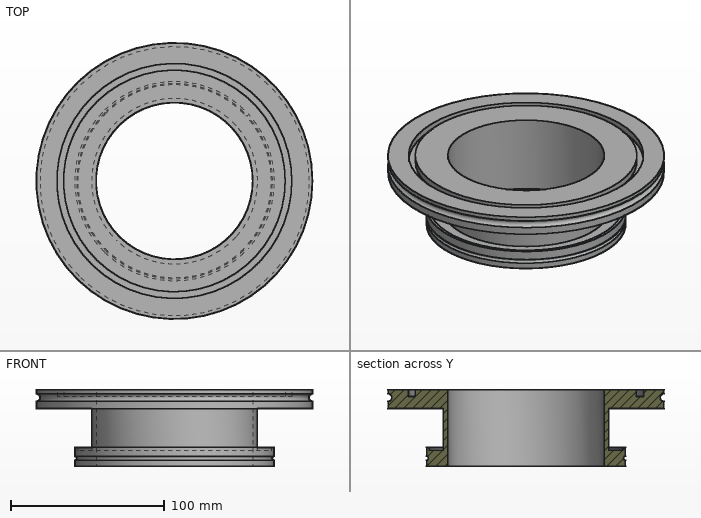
import cadquery as cq

total_height = 50.0
flange_thickness = 12.5
upper_radius = 90.0
lower_radius = 65.0
tube_radius = 54.0
bore_radius = 51.0

upper_rim_groove_radius = 2.3
upper_rim_lip = 2.9
lower_rim_groove_radius = 1.3
lower_rim_lip = 4.0

face_groove_outer_radius = 76.5
face_groove_inner_radius = 72.2
face_groove_depth = 4.5

recess_radius = 63.0
recess_depth = 1.8


def cylinder(radius, bottom, height):
    return cq.Workplane("XY").workplane(offset=bottom).circle(radius).extrude(height)


def ring(outer_radius, inner_radius, bottom, height):
    return cylinder(outer_radius, bottom, height).cut(cylinder(inner_radius, bottom, height))


def rim_groove(rim_radius, center_z, groove_radius):
    """Ring of round section centred on a flange rim."""
    section = cq.Workplane("XZ").center(rim_radius, center_z).circle(groove_radius)
    return section.revolve(360, (-rim_radius, 0), (-rim_radius, 1))


upper_flange = cylinder(upper_radius, total_height - flange_thickness, flange_thickness)
lower_flange = cylinder(lower_radius, 0, flange_thickness)
tube = cylinder(tube_radius, 0, total_height)
body = upper_flange.union(tube).union(lower_flange)

body = body.cut(cylinder(bore_radius, 0, total_height))

upper_groove_z = total_height - upper_rim_lip - upper_rim_groove_radius
lower_groove_z = lower_rim_lip + lower_rim_groove_radius
body = body.cut(rim_groove(upper_radius, upper_groove_z, upper_rim_groove_radius))
body = body.cut(rim_groove(lower_radius, lower_groove_z, lower_rim_groove_radius))

face_groove_floor = total_height - face_groove_depth
body = body.cut(ring(face_groove_outer_radius, face_groove_inner_radius, face_groove_floor, face_groove_depth))

recess_floor = flange_thickness - recess_depth
result = body.cut(ring(recess_radius, tube_radius, recess_floor, recess_depth))